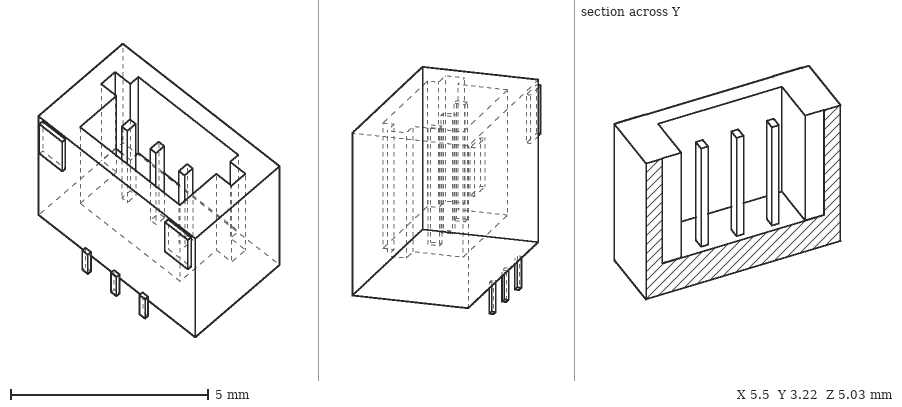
import cadquery as cq


width = 5.5
total_depth = 3.22
total_height = 5.03
pad_thickness = 0.115
tail_drop = 0.675
housing_depth = total_depth - pad_thickness
housing_height = total_height - tail_drop

cavity_width = 3.5
cavity_depth = 2.145
cavity_front_wall = 0.485
cavity_floor = 1.0
key_span = 4.565
key_width = 0.51
key_front = 1.82

contact_count = 3
pitch = 1.0
contact_width = 0.2
pin_depth = 0.3
pin_front = 1.335
pin_top_gap = 0.215
tail_overlap = 0.17

pad_width = 0.805
pad_height = 1.3
pad_side_inset = 0.15
pad_top_inset = 0.09


def block(center_x, front_y, bottom_z, size_x, size_y, size_z):
    """Box centred on center_x, starting at front_y and bottom_z."""
    box = cq.Workplane("XY").box(size_x, size_y, size_z, centered=(True, False, False))
    return box.translate((center_x, front_y, bottom_z))


def make_housing():
    cavity_height = housing_height - cavity_floor
    shell = block(0, 0, 0, width, housing_depth, housing_height)
    cavity = block(0, cavity_front_wall, cavity_floor, cavity_width, cavity_depth, cavity_height)
    keys = block(0, key_front, cavity_floor, key_span, key_width, cavity_height)
    return shell.cut(cavity).cut(keys)


def make_pin(center_x):
    """Upright pin standing on the cavity floor."""
    pin_height = housing_height - pin_top_gap - cavity_floor
    return block(center_x, pin_front, cavity_floor, contact_width, pin_depth, pin_height)


def make_tail(center_x):
    """Solder tail on the front face, reaching below the base."""
    tail_height = tail_drop + tail_overlap
    return block(center_x, -pad_thickness, -tail_drop, contact_width, pad_thickness, tail_height)


def make_pad(side):
    center_x = side * (width / 2 - pad_side_inset - pad_width / 2)
    bottom_z = housing_height - pad_top_inset - pad_height
    return block(center_x, -pad_thickness, bottom_z, pad_width, pad_thickness, pad_height)


result = make_housing()

for index in range(contact_count):
    contact_x = (index - (contact_count - 1) / 2) * pitch
    result = result.union(make_pin(contact_x)).union(make_tail(contact_x))

for side in (-1, 1):
    result = result.union(make_pad(side))